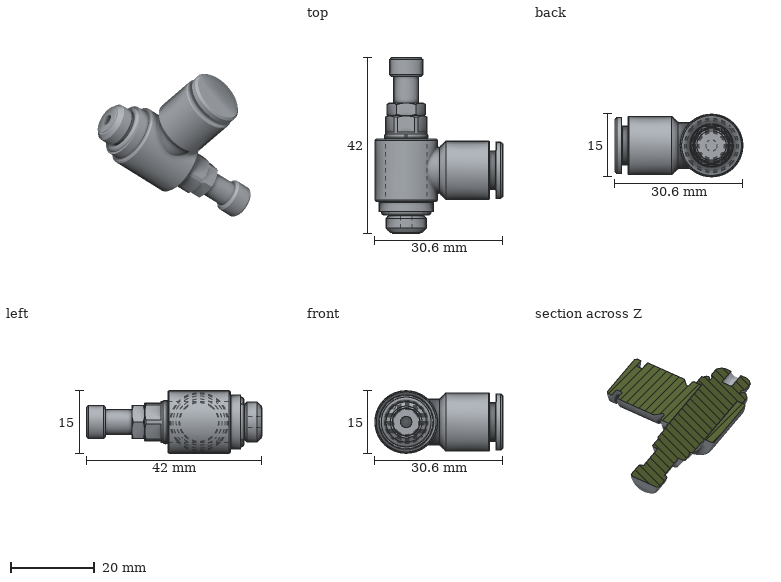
import cadquery as cq
import math


shank_d = 9.85

barrel_d = 15.0
barrel_length = barrel_d
barrel_chamfer = 0.35
barrel_half = barrel_length / 2

branch_neck_d = 11.0
branch_root_fillet = 0.25
branch_d = 14.0
cone_start = 8.0
cone_end = 9.55
branch_end = 19.95
branch_chamfer = 0.2
sleeve_d = 9.3
sleeve_flare = 0.15
release_ring_d = 13.5
release_ring_start = 21.5
release_ring_chamfer = 0.5
branch_tip = 23.12

collar_d = 13.0
collar_chamfer = 0.15
collar_end = -9.9
seal_outer_d = 11.93
seal_section_r = 0.8
thread_neck_d = 8.3
thread_d = 9.6
thread_start = -10.85
thread_end = -14.85
thread_end_chamfer = 1.0
tip_boss_d = 6.65
tip_boss_height = 0.2
tip_boss_chamfer = 0.1
tip_hole_d = 2.7
tip_hole_depth = 4.2

snap_ring_d = 10.4
snap_ring_width = 1.15
snap_ring_gap = 0.5
hex_start = 9.1
hex_end = 13.05
hex_flats = 9.0
hex_top_d = 8.75
lock_nut_end = 16.05
lock_nut_flats = 8.0
lock_nut_face_d = 8.15
hex_bevel_angle = 30.0
stem_d = 6.0
knob_d = 8.0
knob_start = 22.43
knob_chamfer = 0.45
bolt_length = 42.0
tip_end = thread_end - tip_boss_height
knob_end = tip_end + bolt_length


def turned_on_y(points):
    """Solid of revolution about Y from (radius, y) points that start and end on the axis."""
    return cq.Workplane("XY").polyline(points).close().revolve(360, (0, 0), (0, 1))


def turned_on_x(points):
    """Solid of revolution about X from (x, radius) points that start and end on the axis."""
    return cq.Workplane("XY").polyline(points).close().revolve(360, (0, 0), (1, 0))


def cylinder_on_y(diameter, start, end):
    return turned_on_y([(0, start), (diameter / 2, start), (diameter / 2, end), (0, end)])


def hex_bar(flats, start, end):
    """Hexagon bar along Y with flats facing +Z and -Z."""
    corner_d = flats / math.cos(math.pi / 6)
    plane = cq.Workplane("XZ", origin=(0, end, 0))
    return plane.polygon(6, corner_d).extrude(end - start)


def bevel_height(outer_d, face_d):
    """Axial height of the bevel that runs from a face diameter out to an outer diameter."""
    return (outer_d - face_d) / 2 * math.tan(math.radians(hex_bevel_angle))


def make_branch():
    """Branch with its cone, release sleeve and release ring, rooted in the barrel."""
    neck_r = branch_neck_d / 2
    branch_r = branch_d / 2
    sleeve_r = sleeve_d / 2
    ring_r = release_ring_d / 2
    return turned_on_x([
        (0, 0),
        (0, neck_r),
        (cone_start, neck_r),
        (cone_end, branch_r),
        (branch_end - branch_chamfer, branch_r),
        (branch_end, branch_r - branch_chamfer),
        (branch_end, sleeve_r),
        (release_ring_start - sleeve_flare, sleeve_r),
        (release_ring_start, sleeve_r + sleeve_flare),
        (release_ring_start, ring_r),
        (branch_tip - release_ring_chamfer, ring_r),
        (branch_tip, ring_r - release_ring_chamfer),
        (branch_tip, 0),
    ])


def make_housing():
    """Barrel and branch in one piece, bored for the bolt shank."""
    barrel = cylinder_on_y(barrel_d, -barrel_half, barrel_half).edges("%CIRCLE").chamfer(barrel_chamfer)
    bore = cylinder_on_y(shank_d, -barrel_half, barrel_half)
    joined = barrel.union(make_branch())
    joined = joined.edges("%BSPLINE").fillet(branch_root_fillet)
    return joined.cut(bore)


def make_lower_bolt():
    """Shank, collar, sealing ring and connecting thread, turned in one profile."""
    collar_r = collar_d / 2
    thread_r = thread_d / 2
    neck_r = thread_neck_d / 2
    seal_r = seal_outer_d / 2
    boss_r = tip_boss_d / 2
    profile = (
        cq.Workplane("XY")
        .moveTo(0, hex_start)
        .lineTo(shank_d / 2, hex_start)
        .lineTo(shank_d / 2, -barrel_half)
        .lineTo(collar_r - collar_chamfer, -barrel_half)
        .lineTo(collar_r, -barrel_half - collar_chamfer)
        .lineTo(collar_r, collar_end)
        .lineTo(seal_r, collar_end)
        .threePointArc(
            (seal_r - seal_section_r, collar_end - seal_section_r),
            (seal_r - 2 * seal_section_r, collar_end),
        )
        .lineTo(neck_r, collar_end)
        .lineTo(neck_r, thread_start)
        .lineTo(thread_r, thread_start - (thread_r - neck_r))
        .lineTo(thread_r, thread_end + thread_end_chamfer)
        .lineTo(thread_r - thread_end_chamfer, thread_end)
        .lineTo(boss_r, thread_end)
        .lineTo(boss_r, tip_end + tip_boss_chamfer)
        .lineTo(boss_r - tip_boss_chamfer, tip_end)
        .lineTo(0, tip_end)
        .close()
    )
    tip_hole = cylinder_on_y(tip_hole_d, tip_end, tip_end + tip_hole_depth)
    return profile.revolve(360, (0, 0), (0, 1)).cut(tip_hole)


def make_snap_ring():
    """Rounded retaining ring on top of the barrel, split on the +Z side."""
    inner_r = shank_d / 2
    ring_top = barrel_half + snap_ring_width
    ring = (
        cq.Workplane("XY")
        .moveTo(0, barrel_half)
        .lineTo(inner_r, barrel_half)
        .threePointArc((snap_ring_d / 2, barrel_half + snap_ring_width / 2), (inner_r, ring_top))
        .lineTo(0, ring_top)
        .close()
        .revolve(360, (0, 0), (0, 1))
    )
    split = (
        cq.Workplane("XY")
        .box(snap_ring_gap, snap_ring_width, snap_ring_d, centered=(True, False, False))
        .translate((0, barrel_half, 0))
        .cut(cylinder_on_y(shank_d, barrel_half, ring_top))
    )
    return ring.cut(split)


def make_bolt_hexagon():
    """Hexagon whose corners are turned down to the shank diameter and bevelled on top."""
    shank_r = shank_d / 2
    envelope = turned_on_y([
        (0, hex_start),
        (shank_r, hex_start),
        (shank_r, hex_end - bevel_height(shank_d, hex_top_d)),
        (hex_top_d / 2, hex_end),
        (0, hex_end),
    ])
    return hex_bar(hex_flats, hex_start, hex_end).intersect(envelope)


def make_lock_nut():
    """Hexagon nut bevelled on both faces."""
    corner_d = lock_nut_flats / math.cos(math.pi / 6)
    bevel = bevel_height(corner_d, lock_nut_face_d)
    envelope = turned_on_y([
        (0, hex_end),
        (lock_nut_face_d / 2, hex_end),
        (corner_d / 2, hex_end + bevel),
        (corner_d / 2, lock_nut_end - bevel),
        (lock_nut_face_d / 2, lock_nut_end),
        (0, lock_nut_end),
    ])
    return hex_bar(lock_nut_flats, hex_end, lock_nut_end).intersect(envelope)


def make_knob():
    """Adjusting stem with its chamfered knob."""
    stem = cylinder_on_y(stem_d, lock_nut_end, knob_start)
    knob = cylinder_on_y(knob_d, knob_start, knob_end).edges("%CIRCLE").chamfer(knob_chamfer)
    return stem.union(knob)


def make_bolt():
    """Hollow bolt with its ring, hexagon, lock nut and knob as one piece."""
    bolt = make_lower_bolt()
    for part in (make_snap_ring(), make_bolt_hexagon(), make_lock_nut(), make_knob()):
        bolt = bolt.union(part)
    return bolt


housing = make_housing()
bolt = make_bolt()

result = cq.Compound.makeCompound([housing.val(), bolt.val()])